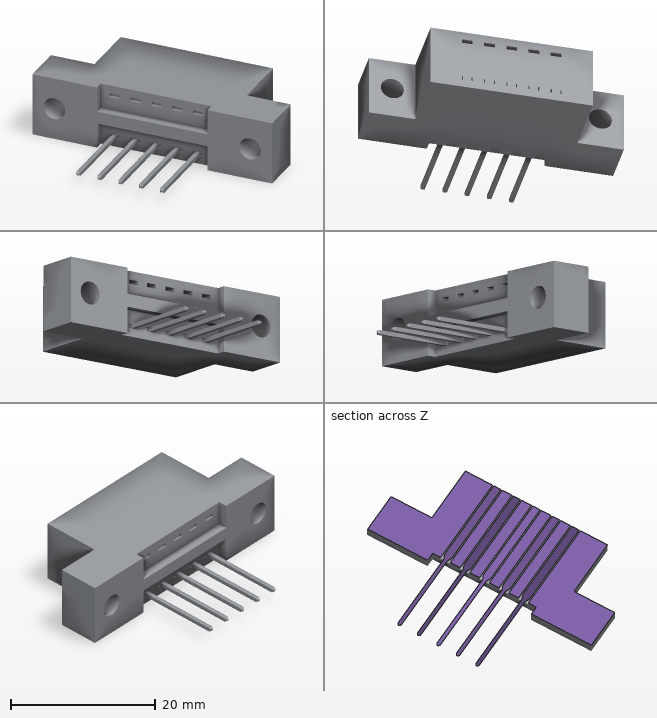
import cadquery as cq

FLANGE_WIDTH = 36.45
FLANGE_DEPTH = 6.3
BODY_WIDTH = 23.2
BODY_DEPTH = 15.25
HEIGHT = 9.4

MOUNT_HOLE_DIAMETER = 3.28
MOUNT_HOLE_SPACING = 29.75

RECESS_WIDTH = 16.8
RECESS_DEPTH = 1.3
RIB_HEIGHT = 1.85

CONTACT_COUNT = 5
CONTACT_PITCH = 3.17
ROW_EDGE_DISTANCE = 1.53
SLOT_WIDTH = 1.53
SLOT_HEIGHT = 0.6

BLADE_WIDTH = 1.25
SHOULDER_LENGTH = 0.73
CONTACT_THICKNESS = SLOT_HEIGHT
PIN_WIDTH = 0.62
PIN_PROJECTION = 11.2
TIP_LENGTH = 0.3
TIP_INSET = 0.2

recess_height = (HEIGHT - RIB_HEIGHT) / 2
row_offset = HEIGHT / 2 - ROW_EDGE_DISTANCE
contact_positions = [(i - (CONTACT_COUNT - 1) / 2) * CONTACT_PITCH for i in range(CONTACT_COUNT)]


def box_from(width, height, y_start, y_end, x=0, z=0):
    """Box centred on (x, z) that spans y_start to y_end."""
    return (
        cq.Workplane("XY")
        .box(width, y_end - y_start, height, centered=(True, False, True))
        .translate((x, y_start, z))
    )


def make_housing():
    flange = box_from(FLANGE_WIDTH, HEIGHT, 0, FLANGE_DEPTH)
    housing = flange.union(box_from(BODY_WIDTH, HEIGHT, 0, BODY_DEPTH))

    for side in (-1, 1):
        hole = (
            cq.Workplane("XZ", origin=(side * MOUNT_HOLE_SPACING / 2, 0, 0))
            .circle(MOUNT_HOLE_DIAMETER / 2)
            .extrude(-FLANGE_DEPTH)
        )
        housing = housing.cut(hole)

    for side in (-1, 1):
        recess_z = side * (HEIGHT - recess_height) / 2
        housing = housing.cut(box_from(RECESS_WIDTH, recess_height, 0, RECESS_DEPTH, z=recess_z))
        for x in contact_positions:
            slot = box_from(SLOT_WIDTH, SLOT_HEIGHT, RECESS_DEPTH, BODY_DEPTH, x, side * row_offset)
            housing = housing.cut(slot)
    return housing


def make_contact(x):
    """Contact in the lower row: flat blade, sloping shoulders, straight pin and tapered tip."""
    tip_start = TIP_LENGTH - PIN_PROJECTION
    shoulder_end = RECESS_DEPTH + SHOULDER_LENGTH
    half_profile = [
        (PIN_WIDTH / 2, tip_start),
        (PIN_WIDTH / 2, RECESS_DEPTH),
        (BLADE_WIDTH / 2, shoulder_end),
        (BLADE_WIDTH / 2, BODY_DEPTH),
    ]
    mirrored_profile = [(-px, py) for px, py in reversed(half_profile)]
    shank = (
        cq.Workplane("XY")
        .polyline(half_profile + mirrored_profile)
        .close()
        .extrude(CONTACT_THICKNESS / 2, both=True)
    )
    tip = (
        cq.Workplane("XZ", origin=(0, tip_start, 0))
        .rect(PIN_WIDTH, CONTACT_THICKNESS)
        .workplane(offset=TIP_LENGTH)
        .rect(PIN_WIDTH - 2 * TIP_INSET, CONTACT_THICKNESS - 2 * TIP_INSET)
        .loft(ruled=True)
    )
    return shank.union(tip).translate((x, 0, -row_offset))


housing = make_housing()
contacts = [make_contact(x) for x in contact_positions]

result = cq.Compound.makeCompound(
    [housing.solids().val(), *[contact.solids().val() for contact in contacts]]
)